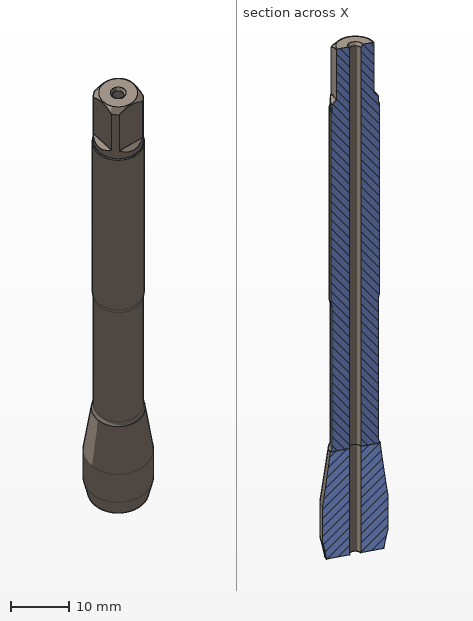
import cadquery as cq
import math

total_length = 100.0
coolant_diameter = 2.0

pitch = 1.75
thread_diameter = 12.16
lead_tip_diameter = 10.65
runout_end_diameter = 9.3
lead_length = 2 * pitch
full_thread_end = 6 * pitch
thread_end = 12 * pitch

shank_diameter = 9.0
neck_diameter = 8.7
neck_end = 50.2
runout_blend_radius = 1.5
shank_blend_radius = 2.5

drive_diameter = 8.64
drive_width = 7.0
drive_length = 10.0
drive_shoulder = 87.8
drive_tip_diameter = 6.7
flat_runout_angle = 45.0

countersink_diameter = 2.7
countersink_angle = 60.0
countersink_depth = (countersink_diameter - coolant_diameter) / 2 / math.tan(math.radians(countersink_angle / 2))


def blend_length(blend_radius, radial_step):
    """Axial length of a blend arc that starts tangent to the neck and rises by radial_step."""
    return math.sqrt(blend_radius**2 - (blend_radius - radial_step) ** 2)


def blend_midpoint(blend_radius, start_z, length, direction):
    """Point (radius, z) on a neck blend arc at half its axial length."""
    rise = blend_radius - math.sqrt(blend_radius**2 - (length / 2) ** 2)
    return (neck_diameter / 2 + rise, start_z + direction * length / 2)


def revolve_profile(profile):
    """Turn a closed (radius, z) profile about the Z axis."""
    return profile.close().revolve(360, (0, 0, 0), (0, 1, 0))


def make_thread_section():
    bore = coolant_diameter / 2
    profile = (
        cq.Workplane("XZ")
        .moveTo(bore, 0)
        .lineTo(lead_tip_diameter / 2, 0)
        .lineTo(thread_diameter / 2, lead_length)
        .lineTo(thread_diameter / 2, full_thread_end)
        .lineTo(runout_end_diameter / 2, thread_end)
        .lineTo(bore, thread_end)
    )
    return revolve_profile(profile)


def make_turned_shank():
    bore = coolant_diameter / 2
    neck = neck_diameter / 2
    lower_blend = blend_length(runout_blend_radius, runout_end_diameter / 2 - neck)
    upper_blend = blend_length(shank_blend_radius, shank_diameter / 2 - neck)
    neck_bottom = thread_end + lower_blend
    neck_top = neck_end - upper_blend
    shoulder_chamfer = (shank_diameter - drive_diameter) / 2
    tip_chamfer = (drive_diameter - drive_tip_diameter) / 2
    runout_blend_middle = blend_midpoint(runout_blend_radius, neck_bottom, lower_blend, -1)
    shank_blend_middle = blend_midpoint(shank_blend_radius, neck_top, upper_blend, 1)
    profile = (
        cq.Workplane("XZ")
        .moveTo(bore, thread_end)
        .lineTo(runout_end_diameter / 2, thread_end)
        .threePointArc(runout_blend_middle, (neck, neck_bottom))
        .lineTo(neck, neck_top)
        .threePointArc(shank_blend_middle, (shank_diameter / 2, neck_end))
        .lineTo(shank_diameter / 2, drive_shoulder)
        .lineTo(drive_diameter / 2, drive_shoulder + shoulder_chamfer)
        .lineTo(drive_diameter / 2, total_length - tip_chamfer)
        .lineTo(drive_tip_diameter / 2, total_length)
        .lineTo(countersink_diameter / 2, total_length)
        .lineTo(bore, total_length - countersink_depth)
    )
    return revolve_profile(profile)


def make_flat_cutter():
    """Block that mills the +X flat, with a sloping floor where the flat runs out."""
    flat = drive_width / 2
    reach = shank_diameter / 2
    flat_bottom = total_length - drive_length
    floor_drop = (reach - flat) * math.tan(math.radians(flat_runout_angle))
    return (
        cq.Workplane("XZ")
        .moveTo(flat, total_length)
        .lineTo(flat, flat_bottom)
        .lineTo(reach, flat_bottom - floor_drop)
        .lineTo(reach, total_length)
        .close()
        .extrude(reach, both=True)
    )


def make_shank():
    shank = make_turned_shank()
    cutter = make_flat_cutter()
    for side in range(4):
        shank = shank.cut(cutter.rotate((0, 0, 0), (0, 0, 1), side * 90))
    return shank


thread_section = make_thread_section()
shank = make_shank()

result = cq.Compound.makeCompound([thread_section.val(), shank.val()])